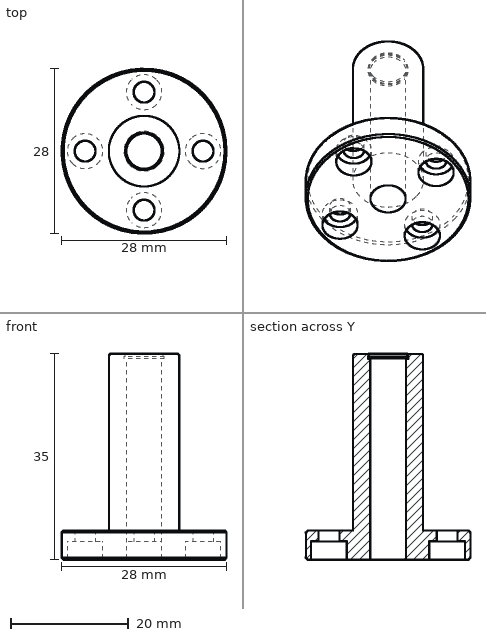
import cadquery as cq

total_height = 35.0
flange_diameter = 28.0
flange_thickness = 5.0
flange_chamfer = 0.35

sleeve_diameter = 12.0
sleeve_edge_radius = 0.5

bore_diameter = 6.0
mouth_diameter = 6.4
mouth_depth = 0.5
groove_diameter = 6.8
groove_width = 0.4

hole_count = 4
hole_diameter = 3.5
hole_circle_radius = 10.0
counterbore_diameter = 6.0
counterbore_depth = 3.1


def make_flange():
    disc = cq.Workplane("XY").circle(flange_diameter / 2).extrude(flange_thickness)
    return disc.faces("<Z or >Z").edges().chamfer(flange_chamfer)


def make_sleeve():
    post = cq.Workplane("XY").circle(sleeve_diameter / 2).extrude(total_height)
    return post.faces(">Z").edges().fillet(sleeve_edge_radius)


def make_bore():
    bore = cq.Workplane("XY").circle(bore_diameter / 2).extrude(total_height)
    top = bore.faces(">Z").workplane()
    mouth = top.circle(mouth_diameter / 2).extrude(-mouth_depth, combine=False)
    groove = (
        top.workplane(offset=-mouth_depth)
        .circle(groove_diameter / 2)
        .extrude(-groove_width, combine=False)
    )
    return bore.union(mouth).union(groove)


def make_hole_pattern(diameter, depth):
    return (
        cq.Workplane("XY")
        .polarArray(hole_circle_radius, 0, 360, hole_count)
        .circle(diameter / 2)
        .extrude(depth)
    )


def make_mounting_holes():
    through_holes = make_hole_pattern(hole_diameter, flange_thickness)
    counterbores = make_hole_pattern(counterbore_diameter, counterbore_depth)
    return through_holes.union(counterbores)


result = make_flange().union(make_sleeve()).cut(make_bore()).cut(make_mounting_holes())